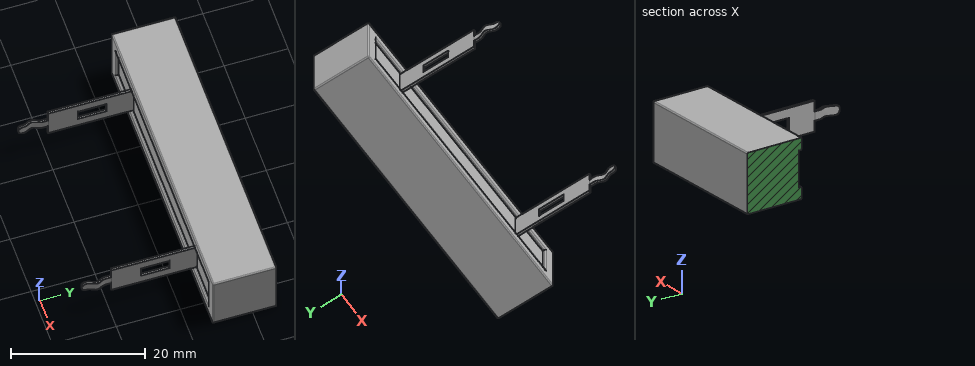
import cadquery as cq

BODY_LENGTH = 48.0
BODY_DEPTH = 10.0
BODY_HEIGHT = 10.0
BODY_EDGE_RADIUS = 0.2

RECESS_MARGIN = 2.05
RECESS_DEPTH = 0.5
RECESS_RIM_RADIUS = 0.25

TERMINAL_SPACING = 30.0
TERMINAL_REACH = 17.5
TERMINAL_THICKNESS = 0.4
BLADE_WIDTH = 5.0
BLADE_REACH = 12.9

WINDOW_START = 3.75
WINDOW_LENGTH = 4.5
WINDOW_WIDTH = 1.8

TIP_WIDTH = 1.5
TIP_CORNER_RADIUS = 0.65
KINK_START = 13.75
KINK_PEAK = 15.25
KINK_END = 16.7
KINK_OFFSET = 0.45


def make_body():
    """Rounded block with a shallow, round-rimmed recess in its -Y face."""
    block = cq.Workplane("XY").box(BODY_LENGTH, BODY_DEPTH, BODY_HEIGHT)
    block = block.edges().fillet(BODY_EDGE_RADIUS)
    block = block.translate((0, BODY_DEPTH / 2, 0))

    recess_length = BODY_LENGTH - 2 * RECESS_MARGIN
    recess_height = BODY_HEIGHT - 2 * RECESS_MARGIN
    recess = cq.Workplane("XY").box(recess_length, RECESS_DEPTH, recess_height)
    block = block.cut(recess.translate((0, RECESS_DEPTH / 2, 0)))

    rim_box = cq.selectors.BoxSelector(
        (-BODY_LENGTH / 2 + RECESS_MARGIN / 2, -RECESS_DEPTH / 2, -BODY_HEIGHT / 2 + RECESS_MARGIN / 2),
        (BODY_LENGTH / 2 - RECESS_MARGIN / 2, RECESS_DEPTH / 4, BODY_HEIGHT / 2 - RECESS_MARGIN / 2),
    )
    return block.edges(rim_box).fillet(RECESS_RIM_RADIUS)


def make_blade():
    """Flat part of the left terminal, centred on X = 0, running toward -Y."""
    blade_length = BLADE_REACH + RECESS_DEPTH
    blade = cq.Workplane("XY").box(TERMINAL_THICKNESS, blade_length, BLADE_WIDTH)
    blade = blade.translate((0, RECESS_DEPTH - blade_length / 2, 0))
    window = cq.Workplane("XY").box(TERMINAL_THICKNESS, WINDOW_LENGTH, WINDOW_WIDTH)
    return blade.cut(window.translate((0, -WINDOW_START - WINDOW_LENGTH / 2, 0)))


def make_tip():
    """Kinked tip of the left terminal, bulging toward -X."""
    inner = TERMINAL_THICKNESS / 2
    outer = -inner
    path = [
        (0, -BLADE_REACH),
        (0, -KINK_START),
        (-KINK_OFFSET, -KINK_PEAK),
        (0, -KINK_END),
        (0, -TERMINAL_REACH),
    ]
    outer_curve = [(x + outer, y) for x, y in path]
    inner_curve = [(x + inner, y) for x, y in reversed(path)]
    strip = (
        cq.Workplane("XY", origin=(0, 0, -TIP_WIDTH / 2))
        .moveTo(*outer_curve[0])
        .spline(outer_curve[1:], tangents=[(0, -1)] * len(path), includeCurrent=True)
        .lineTo(*inner_curve[0])
        .spline(inner_curve[1:], tangents=[(0, 1)] * len(path), includeCurrent=True)
        .close()
        .extrude(TIP_WIDTH)
    )

    tip_length = TERMINAL_REACH - BLADE_REACH
    outline = cq.Workplane("XY").box(2 * (TERMINAL_THICKNESS + KINK_OFFSET), tip_length, TIP_WIDTH)
    outline = outline.edges("|X and <Y").fillet(TIP_CORNER_RADIUS)
    return strip.intersect(outline.translate((0, -BLADE_REACH - tip_length / 2, 0)))


left_terminal = make_blade().union(make_tip()).translate((-TERMINAL_SPACING / 2, 0, 0))
right_terminal = left_terminal.mirror("YZ")

result = make_body().union(left_terminal).union(right_terminal)